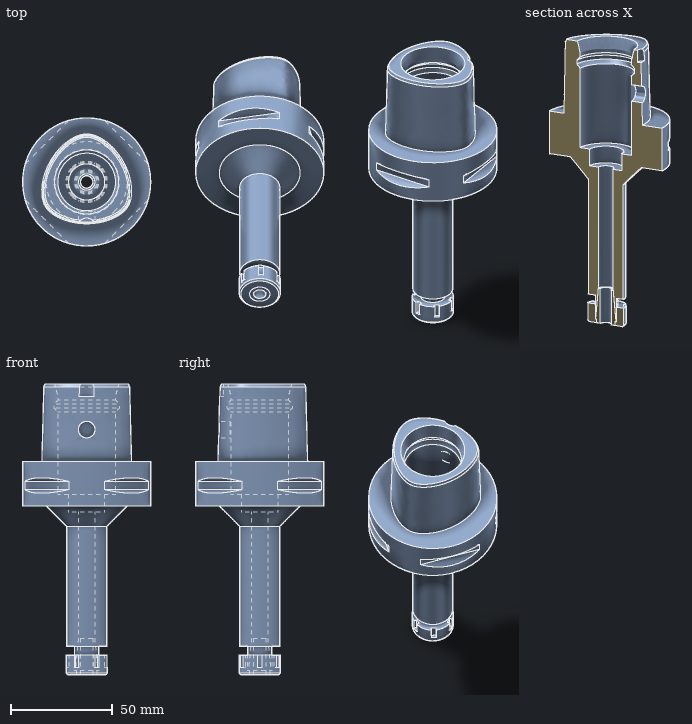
import cadquery as cq
import math

shank_top_z = 143.0
flange_top_z = 105.0
flange_bottom_z = 83.0
cone_end_z = 73.0
shaft_end_z = 14.0
nut_top_z = 9.7

shank_base_radius = 44.2 / 2
shank_taper = 1 / 40
lobe_height = 3.0 / 2
curve_point_count = 36
lead_height = 1.5
lead_inset = 0.7

notch_depth = 6.1
notch_back_y = -17.7
notch_radius = 4.6
side_hole_diameter = 8.2
side_hole_z = 120.5
side_hole_floor_y = -14.6

flange_radius = 63.0 / 2
cone_base_radius = 19.9
shaft_radius = 9.9
neck_radius = 6.0

groove_count = 4
groove_first_angle = 45
groove_z = 93.1
groove_floor_distance = 27.6
groove_floor_width = 4.0
groove_rim_width = 7.6

mouth_radius = 15.7
bore_radius = 14.2
mouth_depth = 6.1
undercut_radius = 16.0
undercut_top_z = 135.0
undercut_bottom_z = 129.3
bore_floor_z = 88.7
thread_radius = 8.9
thread_floor_z = 80.1
coolant_radius = 4.0

nut_radius = 10.2
nut_chamfer = 0.9
slot_count = 6
slot_width = 2.5
slot_depth = 1.5
slot_floor_z = 3.7
spigot_end_z = 2.1
collet_top_z = 18.0
collet_head_radius = 5.6
collet_nose_radius = 5.0
collet_hole_radius = 3.0


def lobed_wire(mean_radius, z):
    """Closed three-lobed curve of constant width with one lobe pointing to +Y.

    Each point lies where the tangent line at the given angle touches the curve:
    reach is the distance of that tangent from the axis, slope its rate of change.
    """

    def point(turn):
        angle = 2 * math.pi * turn
        reach = mean_radius - lobe_height * math.sin(3 * angle)
        slope = -3 * lobe_height * math.cos(3 * angle)
        x = reach * math.cos(angle) - slope * math.sin(angle)
        y = reach * math.sin(angle) + slope * math.cos(angle)
        return (x, y, z)

    points = [cq.Vector(*point(i / curve_point_count)) for i in range(curve_point_count)]
    return cq.Wire.assembleEdges([cq.Edge.makeSpline(points, periodic=True)])


def make_shank():
    """Slightly tapering lobed shank with a lead-in at its top edge."""
    lead_z = shank_top_z - lead_height
    lead_radius = shank_base_radius - shank_taper * (lead_z - flange_top_z)
    base = lobed_wire(shank_base_radius, flange_top_z)
    lead = lobed_wire(lead_radius, lead_z)
    top = lobed_wire(lead_radius - lead_inset, shank_top_z)
    taper = cq.Solid.makeLoft([base, lead], True)
    lead_in = cq.Solid.makeLoft([lead, top], True)
    return cq.Workplane(taper).union(cq.Workplane(lead_in))


def make_holder_profile():
    """Flange, cone, shaft and the spigot that carries the nut."""
    return (
        cq.Workplane("XZ")
        .moveTo(0, flange_top_z)
        .lineTo(flange_radius, flange_top_z)
        .lineTo(flange_radius, flange_bottom_z)
        .lineTo(cone_base_radius, flange_bottom_z)
        .lineTo(shaft_radius, cone_end_z)
        .lineTo(shaft_radius, shaft_end_z)
        .lineTo(neck_radius, shaft_end_z)
        .lineTo(neck_radius, spigot_end_z)
        .lineTo(0, spigot_end_z)
        .close()
        .revolve(360, (0, 0, 0), (0, 1, 0))
    )


def make_holder_bore():
    """Conical mouth, undercut, main bore, thread hole and coolant hole."""
    undercut_flank = undercut_radius - bore_radius
    return (
        cq.Workplane("XZ")
        .moveTo(0, shank_top_z)
        .lineTo(mouth_radius, shank_top_z)
        .lineTo(bore_radius, shank_top_z - mouth_depth)
        .lineTo(bore_radius, undercut_top_z)
        .lineTo(undercut_radius, undercut_top_z - undercut_flank)
        .lineTo(undercut_radius, undercut_bottom_z + undercut_flank)
        .lineTo(bore_radius, undercut_bottom_z)
        .lineTo(bore_radius, bore_floor_z)
        .lineTo(thread_radius, bore_floor_z)
        .lineTo(thread_radius, thread_floor_z)
        .lineTo(coolant_radius, thread_floor_z)
        .lineTo(coolant_radius, spigot_end_z)
        .lineTo(0, spigot_end_z)
        .close()
        .revolve(360, (0, 0, 0), (0, 1, 0))
    )


def make_notch():
    """Upright cylinder that scallops the -Y side of the shank at its top."""
    return (
        cq.Workplane("XY", origin=(0, notch_back_y - notch_radius, shank_top_z - notch_depth))
        .circle(notch_radius)
        .extrude(notch_depth)
    )


def make_side_hole():
    """Blind round hole running in +Y from the side below the notch."""
    return (
        cq.Workplane("XZ", origin=(0, side_hole_floor_y, side_hole_z))
        .circle(side_hole_diameter / 2)
        .extrude(shank_base_radius)
    )


def make_groove(angle):
    """Straight flat-floored groove with sloping sides, facing outward at the given angle."""
    depth = flange_radius - groove_floor_distance
    return (
        cq.Workplane("XZ")
        .moveTo(groove_floor_distance, groove_z - groove_floor_width / 2)
        .lineTo(groove_floor_distance + depth, groove_z - groove_rim_width / 2)
        .lineTo(groove_floor_distance + depth, groove_z + groove_rim_width / 2)
        .lineTo(groove_floor_distance, groove_z + groove_floor_width / 2)
        .close()
        .extrude(flange_radius, both=True)
        .rotate((0, 0, 0), (0, 0, 1), angle)
    )


def make_collet_outside():
    """Short round nose below a cone that narrows upward into the holder."""
    return (
        cq.Workplane("XZ")
        .lineTo(collet_nose_radius, 0)
        .lineTo(collet_nose_radius, spigot_end_z)
        .lineTo(collet_head_radius, spigot_end_z)
        .lineTo(coolant_radius, collet_top_z)
        .lineTo(0, collet_top_z)
        .close()
        .revolve(360, (0, 0, 0), (0, 1, 0))
    )


def make_holder():
    """Complete tool holder, bored and recessed for the collet."""
    holder = make_holder_profile().union(make_shank())
    holder = holder.cut(make_holder_bore()).cut(make_notch()).cut(make_side_hole())
    for index in range(groove_count):
        holder = holder.cut(make_groove(groove_first_angle + index * 360 / groove_count))
    return holder.cut(make_collet_outside())


def make_nut():
    """Slotted clamping nut that seats on the spigot and around the collet nose."""
    nut = cq.Workplane("XY").circle(nut_radius).extrude(nut_top_z).faces("<Z").chamfer(nut_chamfer)
    for index in range(slot_count):
        slot = (
            cq.Workplane("XY")
            .box(2 * slot_depth, slot_width, nut_top_z - slot_floor_z, centered=(True, True, False))
            .translate((nut_radius, 0, slot_floor_z))
            .rotate((0, 0, 0), (0, 0, 1), index * 360 / slot_count)
        )
        nut = nut.cut(slot)
    spigot_seat = cq.Workplane("XY", origin=(0, 0, spigot_end_z)).circle(neck_radius).extrude(nut_top_z)
    nose_hole = cq.Workplane("XY").circle(collet_nose_radius).extrude(spigot_end_z)
    return nut.cut(spigot_seat).cut(nose_hole)


def make_collet():
    """Tapered collet with a through hole on the axis."""
    hole = cq.Workplane("XY").circle(collet_hole_radius).extrude(collet_top_z)
    return make_collet_outside().cut(hole)


holder = make_holder()
nut = make_nut()
collet = make_collet()

result = cq.Compound.makeCompound([holder.val(), nut.val(), collet.val()])